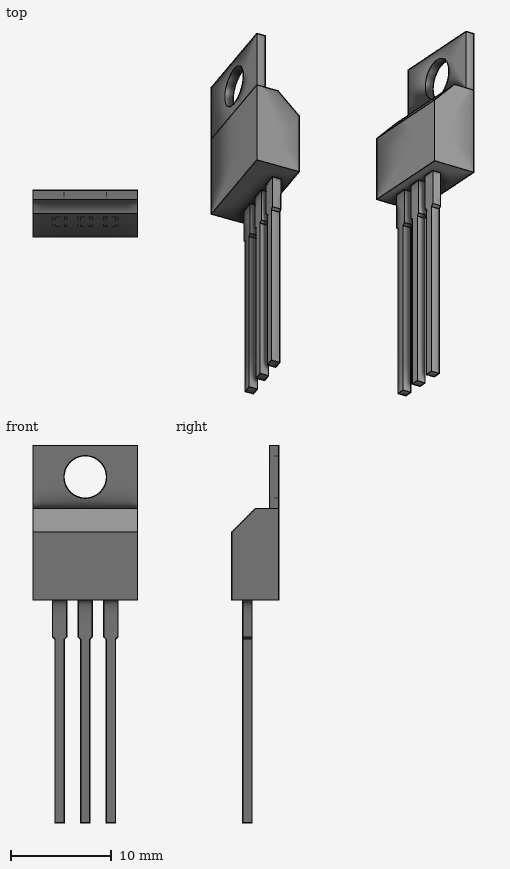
import cadquery as cq

total_height = 37.5
width = 10.43
depth = 4.7

tab_height = 6.25
tab_thickness = 0.95
hole_diameter = 4.2

housing_height = 9.1
chamfer_size = 2.35
housing_bottom = total_height - tab_height - housing_height
housing_top = housing_bottom + housing_height

lead_count = 3
lead_pitch = 2.55
lead_thickness = 0.95
lead_back_gap = 2.65
shoulder_width = 1.43
lead_width = 0.95
shoulder_length = 3.65
taper_length = (shoulder_width - lead_width) / 2


def make_housing():
    """Block with a large chamfer along its upper front edge."""
    block = cq.Workplane("XY").box(width, depth, housing_height, centered=(True, False, False))
    block = block.translate((0, -depth, housing_bottom))
    return block.faces("<Y").edges(">Z").chamfer(chamfer_size)


def make_tab():
    """Flat plate standing on the housing, flush with its back, with a central hole."""
    plate = cq.Workplane("XY").box(width, tab_thickness, tab_height, centered=(True, False, False))
    plate = plate.translate((0, -tab_thickness, housing_top))
    return plate.faces("<Y").workplane(centerOption="CenterOfMass").hole(hole_diameter)


def make_lead(x_center):
    """Flat lead hanging from the housing, wide at the root and tapering to a narrow leg."""
    taper_top = housing_bottom - shoulder_length
    taper_bottom = taper_top - taper_length
    half_outline = [
        (lead_width / 2, 0),
        (lead_width / 2, taper_bottom),
        (shoulder_width / 2, taper_top),
        (shoulder_width / 2, housing_bottom),
    ]
    mirrored_outline = [(-x, z) for x, z in reversed(half_outline)]
    lead = cq.Workplane("XZ").polyline(half_outline + mirrored_outline).close().extrude(lead_thickness)
    return lead.translate((x_center, -lead_back_gap, 0))


housing = make_housing()
tab = make_tab()
leads = []
for index in range(lead_count):
    x_center = (index - (lead_count - 1) / 2) * lead_pitch
    leads.append(make_lead(x_center).val())

result = cq.Compound.makeCompound([housing.val(), tab.val(), *leads])